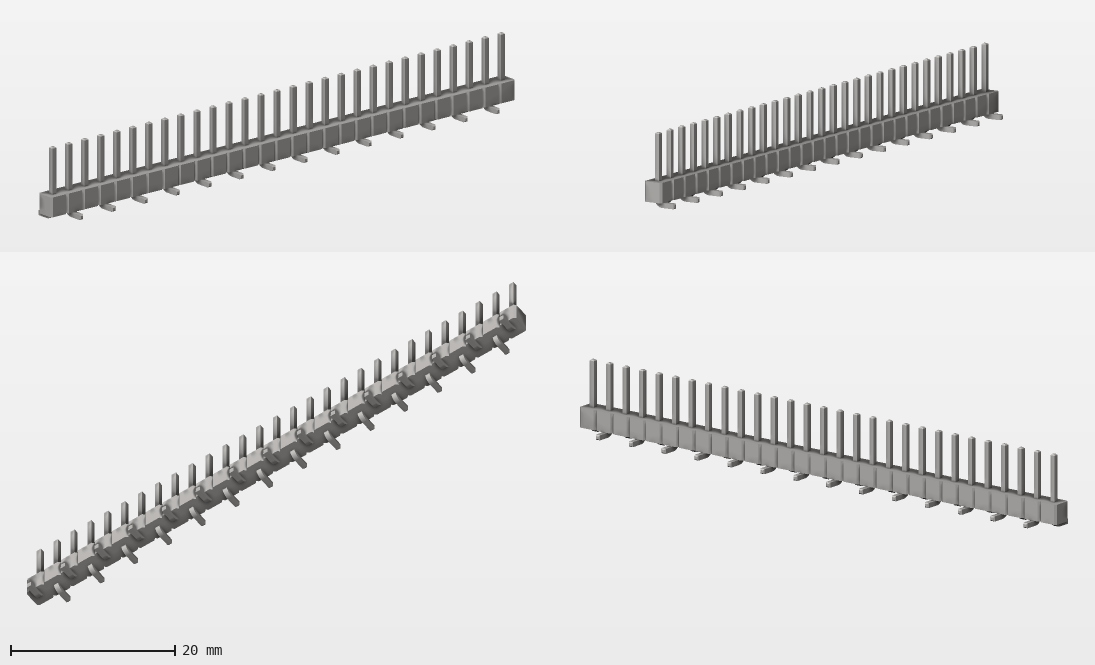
import cadquery as cq

pin_count = 29
row_length = 73.65
pitch = row_length / pin_count
body_width = pitch
body_height = pitch
cell_chamfer = 0.26

overall_width = 5.0
overall_height = 9.3
pin_size = 0.64
bend_inner_radius = 0.45
bend_outer_radius = bend_inner_radius + pin_size
tip_chamfer = 0.15
body_gap = 0.095

leg_top = pin_size
body_bottom = leg_top + body_gap
half_pin = pin_size / 2
leg_reach = overall_width / 2


def cell_center(index):
    """Y position of one cell, with the row centered on the origin."""
    return (index - (pin_count - 1) / 2) * pitch


def make_cell():
    """Housing block whose four vertical edges are chamfered."""
    return (
        cq.Workplane("XY")
        .workplane(offset=body_bottom)
        .rect(body_width, pitch)
        .extrude(body_height)
        .edges("|Z")
        .chamfer(cell_chamfer)
    )


def make_pin():
    """Upright square pin with a rounded bend into a leg that points to -X."""
    pin = (
        cq.Workplane("XZ")
        .moveTo(half_pin, overall_height)
        .lineTo(half_pin, bend_outer_radius)
        .radiusArc((half_pin - bend_outer_radius, 0), bend_outer_radius)
        .lineTo(-leg_reach, 0)
        .lineTo(-leg_reach, leg_top)
        .lineTo(-half_pin - bend_inner_radius, leg_top)
        .radiusArc((-half_pin, leg_top + bend_inner_radius), -bend_inner_radius)
        .lineTo(-half_pin, overall_height)
        .close()
        .extrude(half_pin, both=True)
    )
    return pin.faces("<X or >Z").edges().chamfer(tip_chamfer)


cell = make_cell()
left_pin = make_pin()
right_pin = left_pin.mirror("YZ")

solids = []
for index in range(pin_count):
    pin = left_pin if index % 2 == 0 else right_pin
    offset = (0, cell_center(index), 0)
    solids.append(cell.translate(offset).val())
    solids.append(pin.translate(offset).val())

result = cq.Workplane(solids[0].fuse(*solids[1:]).clean())